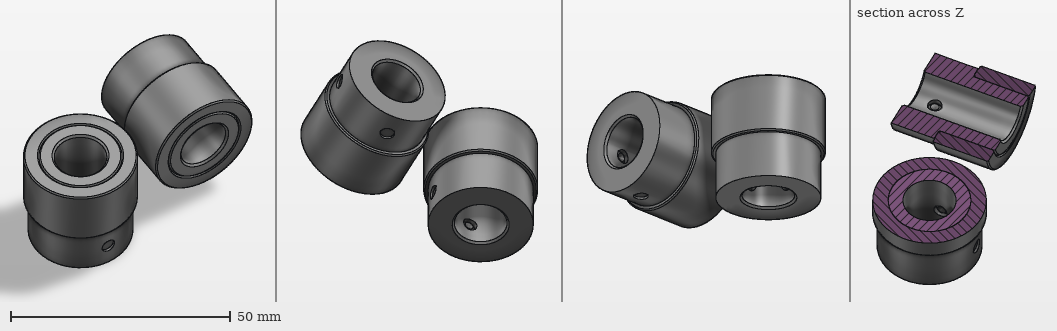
import cadquery as cq

axis_spacing = 29.0
collar_overhang = 18.0

collar_diameter = 24.0
collar_length = 11.0
spigot_diameter = 19.0
bore_diameter = 12.0
bore_chamfer = 0.5
spigot_chamfer = 0.35

ring_diameter = 26.0
ring_length = 14.0
ring_chamfer = 0.35
hub_length = collar_length + ring_length

screw_diameter = 3.3
screw_length = 5.0
screw_setback = 0.4
cup_diameter = 2.0
cup_depth = 0.6
tip_bevel = (screw_diameter - cup_diameter) / 2
screw_angles = (0, 90)
screw_height = collar_length / 2


def make_screw(angle):
    """Radial set screw with a bevelled tip and a conical cup that faces the bore."""
    profile = (
        cq.Workplane("XZ")
        .moveTo(0, cup_depth)
        .lineTo(cup_diameter / 2, 0)
        .lineTo(screw_diameter / 2, tip_bevel)
        .lineTo(screw_diameter / 2, screw_length)
        .lineTo(0, screw_length)
        .close()
    )
    tip_position = bore_diameter / 2 + screw_setback
    return (
        profile.revolve(360, (0, 0, 0), (0, 1, 0))
        .rotate((0, 0, 0), (0, 1, 0), 90)
        .translate((tip_position, 0, screw_height))
        .rotate((0, 0, 0), (0, 0, 1), angle)
    )


def make_hub():
    """Collar and spigot in one piece, bored through and drilled for the screws."""
    hub = cq.Workplane("XY").circle(collar_diameter / 2).extrude(collar_length)
    hub = hub.faces(">Z").workplane().circle(spigot_diameter / 2).extrude(ring_length)
    hub = hub.faces(">Z").edges().chamfer(spigot_chamfer)
    hub = hub.cut(cq.Workplane("XY").circle(bore_diameter / 2).extrude(hub_length))
    bore_rims = cq.selectors.RadiusNthSelector(0)
    hub = hub.faces("<Z or >Z").edges(bore_rims).chamfer(bore_chamfer)
    for angle in screw_angles:
        hole = (
            cq.Workplane("YZ")
            .center(0, screw_height)
            .circle(screw_diameter / 2)
            .extrude(collar_diameter / 2)
            .rotate((0, 0, 0), (0, 0, 1), angle)
        )
        hub = hub.cut(hole)
    return hub


def make_ring():
    """Plain ring with all four rims chamfered."""
    ring = (
        cq.Workplane("XY", origin=(0, 0, collar_length))
        .circle(ring_diameter / 2)
        .circle(spigot_diameter / 2)
        .extrude(ring_length)
    )
    return ring.faces("<Z or >Z").edges().chamfer(ring_chamfer)


def make_assembly():
    """Hub, ring and screws along Z, with the collar end below the origin."""
    bodies = [make_hub(), make_ring()]
    for angle in screw_angles:
        bodies.append(make_screw(angle))
    return [body.translate((0, 0, -collar_overhang)) for body in bodies]


upright_bodies = []
lying_bodies = []
for body in make_assembly():
    upright_bodies.append(body.translate((0, -axis_spacing / 2, 0)))
    lying_bodies.append(
        body.rotate((0, 0, 0), (0, 1, 0), 90).translate((0, axis_spacing / 2, 0))
    )

result = cq.Compound.makeCompound([body.val() for body in upright_bodies + lying_bodies])